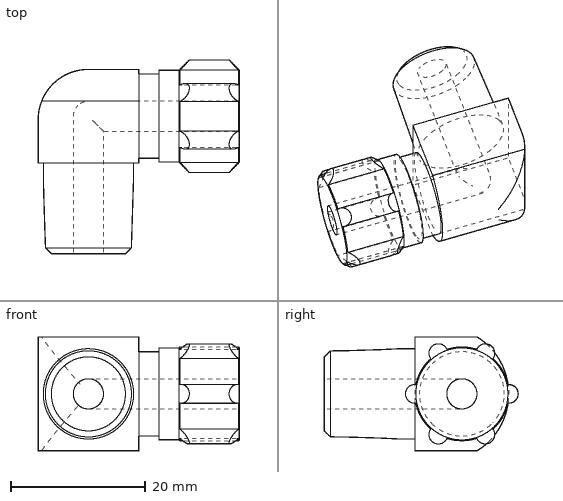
import cadquery as cq
import math


body_length = 15.0
body_depth = 14.0
body_height = 17.0
elbow_radius = 7.5
crown_radius = 10.0

thread_diameter = 13.47
thread_length = 13.5
thread_straight_length = 2.5
thread_taper = 1 / 16
thread_chamfer = 0.9

neck_diameter = 12.6
neck_length = 3.0
collar_diameter = 13.72
collar_length = 3.0
nut_diameter = 14.0
nut_length = 9.0
grip_count = 6
grip_radius = 1.4

bore_diameter = 4.5

body_face_x = body_length / 2
collar_start = body_face_x + neck_length
nut_start = collar_start + collar_length
nut_end = nut_start + nut_length
body_front_y = -body_depth / 2
body_back_y = body_depth / 2
thread_end_y = body_front_y - thread_length


def cylinder_along_x(diameter, start_x, end_x):
    return cq.Workplane("YZ").workplane(offset=start_x).circle(diameter / 2).extrude(end_x - start_x)


def make_body():
    """Block with a rounded outer bend and a crowned back."""
    bend = (
        cq.Workplane("XY")
        .box(body_length, body_depth, body_height)
        .edges("|Z and <X and >Y")
        .fillet(elbow_radius)
    )
    half_height = body_height / 2
    crown_drop = crown_radius - math.sqrt(crown_radius**2 - half_height**2)
    crown_edge_y = body_back_y - crown_drop
    crown = (
        cq.Workplane("YZ")
        .moveTo(body_front_y, -half_height)
        .lineTo(crown_edge_y, -half_height)
        .threePointArc((body_back_y, 0), (crown_edge_y, half_height))
        .lineTo(body_front_y, half_height)
        .close()
        .extrude(body_length / 2, both=True)
    )
    return bend.intersect(crown)


def make_thread():
    """Straight shank, tapered thread envelope and end chamfer, starting at the bend centre."""
    taper_start_y = body_front_y - thread_straight_length
    chamfer_start_y = thread_end_y + thread_chamfer
    taper_length = taper_start_y - chamfer_start_y
    large_radius = thread_diameter / 2
    small_radius = large_radius - taper_length * thread_taper / 2
    return (
        cq.Workplane("XY")
        .moveTo(0, 0)
        .lineTo(large_radius, 0)
        .lineTo(large_radius, taper_start_y)
        .lineTo(small_radius, chamfer_start_y)
        .lineTo(small_radius - thread_chamfer, thread_end_y)
        .lineTo(0, thread_end_y)
        .close()
        .revolve(360, (0, 0, 0), (0, 1, 0))
    )


def make_nut():
    """Round nut with rod-like grips, all bevelled at 45 degrees down to the collar diameter."""
    nut = cylinder_along_x(nut_diameter, nut_start, nut_end)
    grips = (
        cq.Workplane("YZ")
        .workplane(offset=nut_start)
        .polarArray(nut_diameter / 2, 0, 360, grip_count)
        .circle(grip_radius)
        .extrude(nut_length)
    )
    grip_tip_radius = nut_diameter / 2 + grip_radius
    bevel = grip_tip_radius - collar_diameter / 2
    envelope = cylinder_along_x(2 * grip_tip_radius, nut_start, nut_end).edges().chamfer(bevel)
    return nut.union(grips).intersect(envelope)


def make_passage():
    """Two bores meeting in a ball-shaped bend at the origin."""
    run_bore = cylinder_along_x(bore_diameter, 0, nut_end)
    branch_bore = cq.Workplane("XZ").circle(bore_diameter / 2).extrude(-thread_end_y)
    bend_ball = cq.Workplane("XY").sphere(bore_diameter / 2)
    return run_bore.union(branch_bore).union(bend_ball)


neck = cylinder_along_x(neck_diameter, 0, collar_start)
collar = cylinder_along_x(collar_diameter, collar_start, nut_start)

result = (
    make_body()
    .union(make_thread())
    .union(neck)
    .union(collar)
    .union(make_nut())
    .cut(make_passage())
)